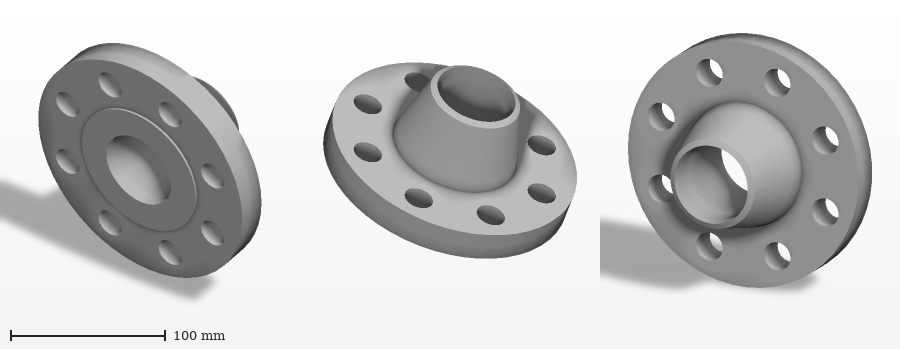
import cadquery as cq

overall_length = 69.91
flange_diameter = 165.1
flange_back = 22.2
raised_face_diameter = 91.95
raised_face_height = 1.6
bore_diameter = 52.58

hub_base_diameter = 84.1
hub_end_diameter = 60.45
bevel_length = 2.3

bolt_count = 8
bolt_hole_diameter = 19.05
bolt_circle_diameter = 127.0
first_bolt_angle = 180.0 / bolt_count


def make_body():
    """Flange, raised face and tapered hub revolved as one half profile."""
    bevel_start = overall_length - bevel_length
    profile = (
        cq.Workplane("XY")
        .moveTo(bore_diameter / 2, 0)
        .lineTo(raised_face_diameter / 2, 0)
        .lineTo(raised_face_diameter / 2, raised_face_height)
        .lineTo(flange_diameter / 2, raised_face_height)
        .lineTo(flange_diameter / 2, flange_back)
        .lineTo(hub_base_diameter / 2, flange_back)
        .lineTo(hub_end_diameter / 2, bevel_start)
        .lineTo(bore_diameter / 2, overall_length)
        .close()
    )
    return profile.revolve(360, (0, 0, 0), (0, 1, 0))


def make_bolt_holes():
    """Cylinders through the flange, evenly spaced on the bolt circle."""
    return (
        cq.Workplane("XZ")
        .polarArray(bolt_circle_diameter / 2, first_bolt_angle, 360, bolt_count)
        .circle(bolt_hole_diameter / 2)
        .extrude(-flange_back)
    )


result = make_body().cut(make_bolt_holes())